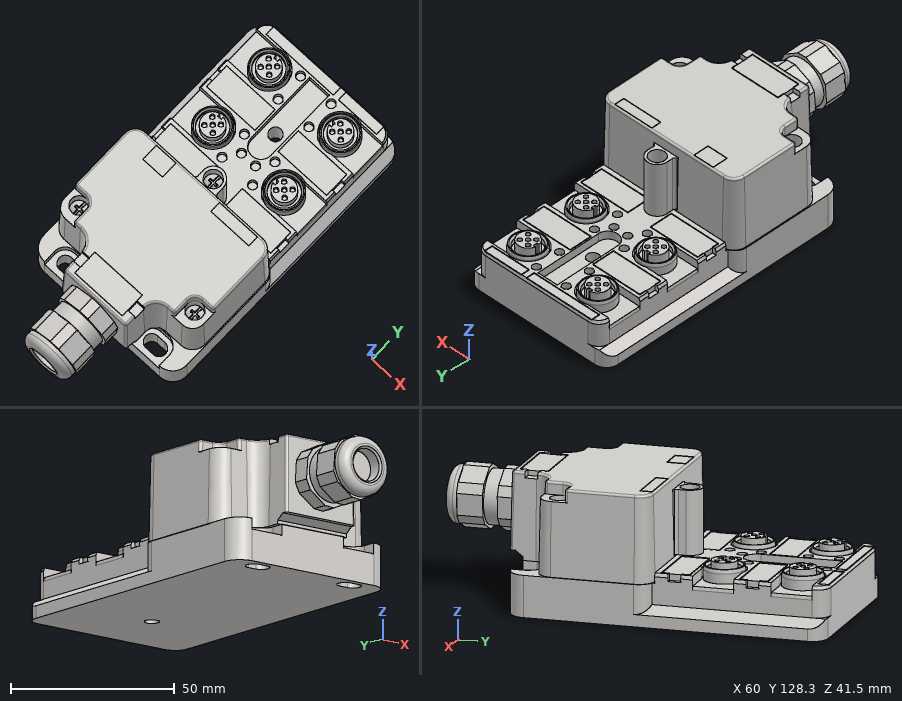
import cadquery as cq
import math


base_width = 60.0
overall_length = 128.3
base_length = 102.0
base_front_radius = 5.9
base_back_radius = 5.0
deck_height = 16.7
deck_width = 53.4
deck_front = 46.8
deck_radius = 4.6
seam_height = 13.5
ledge_low = 4.0
ledge_high = 6.7
bevel_inset = 0.5
bevel_drop = 1.2
recess_bevel_inset = 0.3

hood_top = 41.5
hood_half_width = 29.6
hood_back = 46.3
hood_back_radius = 5.1
hood_front = 9.2
hood_front_radius = 5.1
hood_draft = 1.2
top_fillet = 0.8
nose_half_width = 13.6
nose_front = -3.8
nose_corner_radius = 4.6
nose_edge_radius = 0.8
nose_under_height = 16.4
nose_root_height = 14.6
nose_slope_start = 0.4
nose_slope_end = -2.0

screw_x = 24.3
screw_y = 15.7
rear_screw_y = 49.8
screw_places = ((-screw_x, screw_y), (screw_x, screw_y), (0, rear_screw_y))
screw_radius = 3.1
pocket_mouth_radius = 0.9
screw_seat_height = 37.3
screw_crown_height = 33.4
screw_dome_rise = 1.5
screw_head_height = 3.8
screw_slot_width = 0.8
screw_slot_depth = 1.5
screw_cross_length = 3.1
boss_radius = 4.1
boss_root_radius = 1.0
boss_overlap = 1.3

slot_x = 18.1
slot_y = 4.6
slot_length = 8.2
slot_width = 5.1
slot_pocket_width = 11.8
slot_pocket_depth = 3.5
slot_pocket_length = 8.9
slot_pocket_radius = 4.4

socket_x = 15.0
socket_rows = (65.6, 90.7)
socket_clearance_radius = 7.0
recess_width = 13.2
collar_radius = 6.5
collar_rim_radius = 6.3
collar_top = 18.0
collar_mouth_radius = 5.9
collar_bore_radius = 5.3
mouth_depth = 0.8
bore_floor = 15.4
insert_radius = 4.1
insert_top = 19.5
contact_offset = 1.8
contact_radius = 0.83
contact_depth = 1.9
key_width = 1.5
key_depth = 1.0
led_x = 6.4
led_row_offset = 5.0
power_led_x = 3.0
led_radius = 1.5
led_depth = 2.6

groove_half_width = 4.1
groove_front = 67.1
groove_back = socket_rows[1] + recess_width / 2
deck_hole_y = 77.6
deck_hole_radius = 2.3

plate_depth = 0.3
field_depth = 0.1
plate_length = 20.3
plate_width = 9.0
plate_x = 15.0
plate_rows = (53.1, 78.2)
clip_width = 4.1
deck_clip_floor = 14.4
strip_y = 99.8
strip_width = 3.3
wide_field = (7.2, 23.1)
long_strip = (-23.1, 5.0)
nose_plate_length = 19.9
nose_plate_y = 3.0
nose_clip_floor = 39.5
hood_fields_back = 44.9
narrow_field = (-19.2, -11.0)
narrow_field_front = 38.9
wide_field_front = 41.1

gland_z = 29.1
gland_start = -2.6
lock_nut_end = -9.0
cap_nut_start = -13.7
cap_nut_end = -22.1
gland_tip = base_length - overall_length
nut_corner_radius = 10.3
nut_corner_angle = 85.6
nut_corner_spread = 9.9
gland_neck_radius = 8.7
gland_dome_radius = 9.4
gland_dome_rounding = 2.8
gland_bore_radius = 5.1
gland_bore_depth = 4.7
gland_bore_chamfer = 0.6


def box(x0, x1, y0, y1, z0, z1):
    return cq.Workplane("XY").box(x1 - x0, y1 - y0, z1 - z0, centered=False).translate((x0, y0, z0))


def cylinder(x, y, radius, z0, z1):
    return cq.Workplane("XY", origin=(x, y, z0)).circle(radius).extrude(z1 - z0)


def sided_box(side, x0, x1, y0, y1, z0, z1):
    """Box given for the +X half, moved to the -X half when side is -1."""
    return box(min(side * x0, side * x1), max(side * x0, side * x1), y0, y1, z0, z1)


def base_outline(height):
    plan = box(-base_width / 2, base_width / 2, 0, base_length, 0, height)
    plan = plan.edges("|Z and <Y").fillet(base_front_radius)
    return plan.edges("|Z and >Y").fillet(base_back_radius)


def deck_block():
    """Raised deck, its top bevelled all round except along the front."""
    half_width = deck_width / 2
    bevel_base = deck_height - bevel_drop
    deck = box(-half_width, half_width, deck_front - bevel_inset, base_length, 0, bevel_base)
    deck = deck.edges("|Z and >Y").fillet(deck_radius)
    bevel_angle = math.degrees(math.atan2(bevel_inset, bevel_drop))
    cap = deck.faces(">Z").wires().toPending().workplane().extrude(bevel_drop, taper=bevel_angle)
    return cap.cut(box(-half_width, half_width, 0, deck_front, 0, deck_height))


def base_block():
    foot = base_outline(ledge_low)
    front = box(-base_width / 2, base_width / 2, 0, hood_back, 0, seam_height)
    front = front.edges("|Z and <Y").fillet(base_front_radius)
    front = front.edges("|Z and >Y").fillet(hood_back_radius)
    slope = (
        cq.Workplane("XZ", origin=(0, base_length, 0))
        .moveTo(-base_width / 2, ledge_low)
        .lineTo(base_width / 2, ledge_low)
        .lineTo(deck_width / 2, ledge_high)
        .lineTo(-deck_width / 2, ledge_high)
        .close()
        .extrude(base_length - hood_back + hood_back_radius)
        .intersect(base_outline(ledge_high))
    )
    sill = box(-deck_width / 2, deck_width / 2, hood_back - hood_back_radius, deck_front, 0, seam_height)
    return foot.union(front).union(slope).union(sill).union(deck_block())


def bevelled_recess(side, y, width):
    """Recess from the deck's side to the socket, its floor bevelled at the outer edge."""
    edge = deck_width / 2
    profile = (
        cq.Workplane("XZ", origin=(0, y + width / 2, 0))
        .moveTo(side * socket_x, deck_height)
        .lineTo(side * socket_x, seam_height)
        .lineTo(side * (edge - recess_bevel_inset), seam_height)
        .lineTo(side * edge, seam_height - bevel_drop)
        .lineTo(side * edge, deck_height)
        .close()
    )
    return profile.extrude(width)


def centre_groove():
    arc_y = groove_front + groove_half_width
    slot = box(-groove_half_width, groove_half_width, arc_y, groove_back, seam_height, deck_height)
    return slot.union(cylinder(0, arc_y, groove_half_width, seam_height, deck_height))


def mounting_slot(side):
    floor = seam_height - slot_pocket_depth
    pocket = sided_box(
        side, slot_x - slot_pocket_width / 2, slot_x + slot_pocket_width / 2,
        0, slot_pocket_length, floor, seam_height,
    )
    pocket = pocket.edges("|Z and >Y").fillet(slot_pocket_radius)
    slot = cq.Workplane("XY", origin=(side * slot_x, slot_y, 0)).slot2D(slot_length, slot_width)
    return pocket.union(slot.extrude(floor))


def deck_plates(side):
    inner = plate_x - plate_length / 2
    outer = plate_x + plate_length / 2
    cut = cq.Workplane("XY")
    for y in plate_rows:
        cut = cut.add(sided_box(
            side, inner, outer, y - plate_width / 2, y + plate_width / 2,
            deck_height - plate_depth, deck_height,
        ))
        cut = cut.add(sided_box(
            side, outer, deck_width / 2, y - clip_width / 2, y + clip_width / 2,
            deck_clip_floor, deck_height,
        ))
    return cut.combine()


def socket(side, y):
    """Collar with a stepped bore around a contact insert; the key faces +Y or -X."""
    profile = [
        (0, seam_height),
        (collar_radius, seam_height),
        (collar_radius, deck_height),
        (collar_rim_radius, collar_top),
        (collar_mouth_radius, collar_top),
        (collar_bore_radius, collar_top - mouth_depth),
        (collar_bore_radius, bore_floor),
        (insert_radius, bore_floor),
        (insert_radius, insert_top),
        (0, insert_top),
    ]
    body = cq.Workplane("XZ").polyline(profile).close().revolve(360, (0, 0, 0), (0, 1, 0))
    contacts = [(0, 0)] + [(i * contact_offset, j * contact_offset) for i in (-1, 1) for j in (-1, 1)]
    for cx, cy in contacts:
        body = body.cut(cylinder(cx, cy, contact_radius, insert_top - contact_depth, insert_top))
    key = box(-key_width / 2, key_width / 2, insert_radius - key_depth, insert_radius, bore_floor, insert_top)
    turn = 0 if side < 0 else 90
    return body.cut(key).rotate((0, 0, 0), (0, 0, 1), turn).translate((side * socket_x, y, 0))


def make_base():
    base = base_block().cut(centre_groove())
    base = base.cut(cylinder(0, deck_hole_y, deck_hole_radius, 0, deck_height))
    led_floor = deck_height - led_depth
    for side in (-1, 1):
        base = base.cut(mounting_slot(side)).cut(deck_plates(side))
        base = base.cut(cylinder(side * power_led_x, socket_rows[0], led_radius, led_floor, deck_height))
        for y in socket_rows:
            base = base.cut(bevelled_recess(side, y, recess_width))
            base = base.cut(cylinder(side * socket_x, y, socket_clearance_radius, seam_height, deck_height))
            for offset in (-led_row_offset, led_row_offset):
                base = base.cut(cylinder(side * led_x, y + offset, led_radius, led_floor, deck_height))
            base = base.union(socket(side, y))
    for x0, x1 in (long_strip, wide_field):
        base = base.cut(box(
            x0, x1, strip_y - strip_width / 2, strip_y + strip_width / 2,
            deck_height - plate_depth, deck_height,
        ))
    return base


def hood_shell():
    notch_x = nose_half_width + nose_corner_radius
    notch_y = hood_front - nose_corner_radius
    diagonal = math.sqrt(0.5)
    plan = (
        cq.Workplane("XY", origin=(0, 0, seam_height))
        .moveTo(-nose_half_width, nose_front)
        .lineTo(nose_half_width, nose_front)
        .lineTo(nose_half_width, notch_y)
        .threePointArc(
            (notch_x - nose_corner_radius * diagonal, notch_y + nose_corner_radius * diagonal),
            (notch_x, hood_front),
        )
        .lineTo(hood_half_width - hood_front_radius, hood_front)
        .radiusArc((hood_half_width, hood_front + hood_front_radius), -hood_front_radius)
        .lineTo(hood_half_width, hood_back - hood_back_radius)
        .radiusArc((hood_half_width - hood_back_radius, hood_back), -hood_back_radius)
        .lineTo(-hood_half_width + hood_back_radius, hood_back)
        .radiusArc((-hood_half_width, hood_back - hood_back_radius), -hood_back_radius)
        .lineTo(-hood_half_width, hood_front + hood_front_radius)
        .radiusArc((-hood_half_width + hood_front_radius, hood_front), -hood_front_radius)
        .lineTo(-notch_x, hood_front)
        .threePointArc(
            (-notch_x + nose_corner_radius * diagonal, notch_y + nose_corner_radius * diagonal),
            (-nose_half_width, notch_y),
        )
        .close()
    )
    shell = plan.extrude(hood_top - seam_height, taper=hood_draft)
    return shell.faces("<Y").edges("not |X").fillet(nose_edge_radius)


def screw_pocket(side):
    inner = screw_x - screw_radius
    pocket = sided_box(
        side, inner, hood_half_width, 0, screw_y + screw_radius, screw_seat_height, hood_top,
    )
    corner = "<X" if side > 0 else ">X"
    return pocket.edges("|Z and >Y").edges(corner).fillet(screw_radius)


def rear_boss():
    wall_y = hood_back - boss_overlap
    boss = box(-boss_radius, boss_radius, wall_y, rear_screw_y, deck_height, screw_seat_height)
    boss = boss.union(cylinder(0, rear_screw_y, boss_radius, deck_height, screw_seat_height))
    flare_x = boss_radius + boss_root_radius
    flare_y = hood_back + boss_root_radius
    flare = box(-flare_x, flare_x, wall_y, flare_y, deck_height, screw_seat_height)
    for side in (-1, 1):
        flare = flare.cut(cylinder(side * flare_x, flare_y, boss_root_radius, deck_height, screw_seat_height))
    return boss.union(flare)


def nose_underside():
    profile = (
        cq.Workplane("YZ", origin=(-nose_half_width, 0, 0))
        .moveTo(nose_front, seam_height)
        .lineTo(nose_slope_start, seam_height)
        .lineTo(nose_slope_start, nose_root_height)
        .lineTo(nose_slope_end, nose_under_height)
        .lineTo(nose_front, nose_under_height)
        .close()
    )
    return profile.extrude(2 * nose_half_width)


def gland_section(y0, y1):
    return cq.Workplane("XZ", origin=(0, y0, gland_z)), y0 - y1


def gland_cylinder(y0, y1, radius):
    plane, length = gland_section(y0, y1)
    return plane.circle(radius).extrude(length)


def gland_nut(y0, y1):
    """Hexagonal nut with its corners flattened."""
    points = []
    for corner in range(6):
        for spread in (-nut_corner_spread, nut_corner_spread):
            angle = math.radians(nut_corner_angle + 60 * corner + spread)
            points.append((nut_corner_radius * math.cos(angle), nut_corner_radius * math.sin(angle)))
    plane, length = gland_section(y0, y1)
    return plane.polyline(points).close().extrude(length)


def cable_gland():
    dome = gland_cylinder(cap_nut_end, gland_tip, gland_dome_radius)
    dome = dome.faces("<Y").edges().fillet(gland_dome_rounding)
    gland = gland_nut(gland_start, lock_nut_end)
    gland = gland.union(gland_cylinder(lock_nut_end, cap_nut_start, gland_neck_radius))
    gland = gland.union(gland_nut(cap_nut_start, cap_nut_end)).union(dome)
    gland = gland.cut(gland_cylinder(gland_tip, gland_tip + gland_bore_depth, gland_bore_radius))
    bore_rim = gland.faces("<Y").edges(cq.selectors.RadiusNthSelector(0))
    return bore_rim.chamfer(gland_bore_chamfer)


def make_hood():
    hood = hood_shell()
    for side in (-1, 1):
        hood = hood.cut(screw_pocket(side))
    mouth_z = (screw_seat_height + hood_top) / 2
    mouth_edges = ((hood_half_width, screw_y + screw_radius), (screw_x - screw_radius, hood_front))
    for side in (-1, 1):
        for x, y in mouth_edges:
            mouth_edge = hood.edges(cq.NearestToPointSelector((side * x, y, mouth_z)))
            hood = mouth_edge.fillet(pocket_mouth_radius)
    hood = hood.faces(">Z").edges().fillet(top_fillet)
    hood = hood.union(rear_boss()).cut(nose_underside())
    nose_plate_back = nose_plate_y + plate_width / 2
    nose_plate_front = nose_plate_y - plate_width / 2
    plate_edge = nose_plate_length / 2
    hood = hood.cut(box(
        -plate_edge, plate_edge, nose_plate_front, nose_plate_back, hood_top - plate_depth, hood_top,
    ))
    for side in (-1, 1):
        hood = hood.cut(sided_box(
            side, plate_edge, nose_half_width, nose_plate_y - clip_width / 2, nose_plate_y + clip_width / 2,
            nose_clip_floor, hood_top,
        ))
    for (x0, x1), y0 in ((narrow_field, narrow_field_front), (wide_field, wide_field_front)):
        hood = hood.cut(box(x0, x1, y0, hood_fields_back, hood_top - field_depth, hood_top))
    seat = screw_crown_height - screw_head_height
    for x, y in screw_places:
        hood = hood.cut(cylinder(x, y, screw_radius, seat, screw_seat_height))
    return hood.union(cable_gland())


def make_screw(x, y):
    """Domed head with a full-length slot and a shorter cross slot."""
    edge = screw_crown_height - screw_dome_rise
    sphere_radius = (screw_radius ** 2 + screw_dome_rise ** 2) / (2 * screw_dome_rise)
    head = (
        cq.Workplane("XZ")
        .moveTo(0, screw_crown_height - screw_head_height)
        .lineTo(screw_radius, screw_crown_height - screw_head_height)
        .lineTo(screw_radius, edge)
        .radiusArc((0, screw_crown_height), -sphere_radius)
        .close()
        .revolve(360, (0, 0, 0), (0, 1, 0))
    )
    half_slot = screw_slot_width / 2
    half_cross = screw_cross_length / 2
    floor = screw_crown_height - screw_slot_depth
    head = head.cut(box(-half_slot, half_slot, -screw_radius, screw_radius, floor, screw_crown_height))
    head = head.cut(box(-half_cross, half_cross, -half_slot, half_slot, floor, screw_crown_height))
    return head.translate((x, y, 0))


base = make_base()
hood = make_hood()
screws = [make_screw(x, y) for x, y in screw_places]

result = cq.Compound.makeCompound([base.val(), hood.val(), *[screw.val() for screw in screws]])